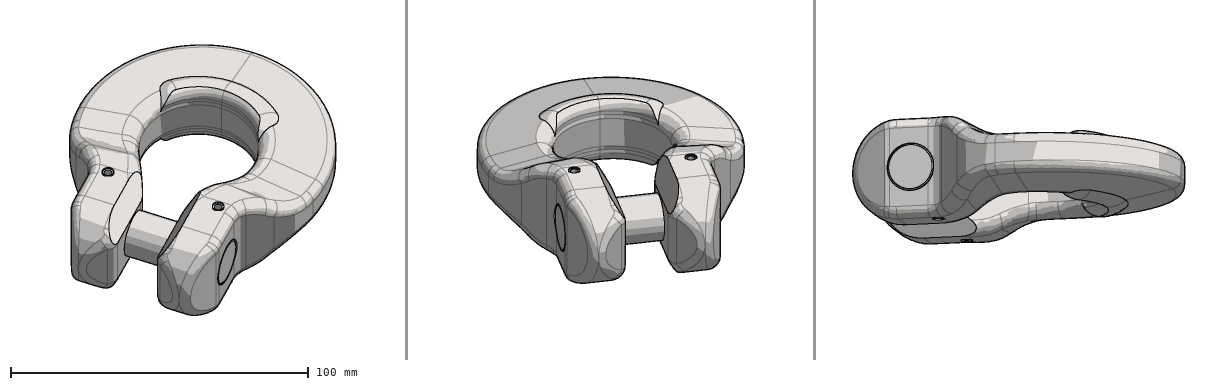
import cadquery as cq
import math


EYE_HALF_THICKNESS = 17.0
EYE_END_Y = -4.9
EYE_OUTER_X = 26.7
EYE_INNER_X = 7.4
EYE_CORNER_ROUND = 8.7
TIP_Y = EYE_END_Y - EYE_HALF_THICKNESS
TIP_OUTER_X = 20.7
TIP_INNER_X = 16.9
TIP_OUTER_CORNER_Y = -8.2
TIP_INNER_CORNER_Y = -16.1
TIP_CORNER_ROUND = 4.4

LENGTH = 109.0
BOW_RADIUS = 44.9
BOW_CENTRE = (0, TIP_Y + LENGTH - BOW_RADIUS)
BOW_END_ANGLE = -11.2
SHOULDER_RADIUS = 29.4
SHOULDER_END_ANGLE = -45.0
NECK_RADIUS = 7.4

BORE_RADIUS = 20.1
BORE_CENTRE = (0, 38.8)
LEG_END = (EYE_INNER_X, 8.3)

CROWN_CENTRE_Y = 40.3
CROWN_HALF_THICKNESS = 10.0
CROWN_GAUGE_RADIUS = 25.1
CROWN_SLOPE = 0.19
CROWN_REACH = 50.1
RAMP_START_Y = 31.1
RAMP_END_Y = 10.2

OUTER_ROUND = 3.6
INNER_ROUND = 4.9
BEVEL_START = (EYE_INNER_X, 9.0)
BEVEL_END = (12.3, EYE_HALF_THICKNESS)
BEVEL_REACH_Y = 43.6

SADDLE_HALF_THICKNESS = 11.8
SADDLE_RADIUS = 23.3
SADDLE_SECTION_RADIUS = 8.7
SADDLE_HALF_ANGLE = 42.0
SADDLE_BORE_RADIUS = BORE_RADIUS + 0.2
FLARE_ROUND = 3.9
FLARE_START_Z = 8.2

PIN_RADIUS = 8.1
PIN_CHAMFER = 0.5
ROLL_PIN_X = 20.1
ROLL_PIN_Y = PIN_RADIUS
ROLL_PIN_RADIUS = 2.0
ROLL_PIN_BORE_RADIUS = 1.3
ROLL_PIN_RECESS = 0.4


def polar(centre, radius, degrees):
    angle = math.radians(degrees)
    return (centre[0] + radius * math.cos(angle), centre[1] + radius * math.sin(angle))


def leg_tangent_angle():
    """Angle on the bore at which the straight inner leg touches it."""
    drop = BORE_CENTRE[1] - LEG_END[1]
    distance = math.hypot(LEG_END[0], drop)
    return math.degrees(math.acos(BORE_RADIUS / distance) - math.atan2(drop, LEG_END[0]))


def half_outline_prism():
    """The +X half of the plan outline, thicker than the part."""
    bow_end = polar(BOW_CENTRE, BOW_RADIUS, BOW_END_ANGLE)
    shoulder_centre = polar(BOW_CENTRE, BOW_RADIUS - SHOULDER_RADIUS, BOW_END_ANGLE)
    shoulder_mid = polar(shoulder_centre, SHOULDER_RADIUS, (BOW_END_ANGLE + SHOULDER_END_ANGLE) / 2)
    shoulder_end = polar(shoulder_centre, SHOULDER_RADIUS, SHOULDER_END_ANGLE)
    neck_x = EYE_OUTER_X + NECK_RADIUS
    neck_y = shoulder_end[1] + neck_x - shoulder_end[0] - NECK_RADIUS * math.sqrt(2)
    neck_centre = (neck_x, neck_y)
    leg_start_angle = leg_tangent_angle()
    prism = (
        cq.Workplane("XY")
        .moveTo(*polar(BOW_CENTRE, BOW_RADIUS, 90))
        .threePointArc(polar(BOW_CENTRE, BOW_RADIUS, 45), bow_end)
        .threePointArc(shoulder_mid, shoulder_end)
        .lineTo(*polar(neck_centre, NECK_RADIUS, 135))
        .threePointArc(polar(neck_centre, NECK_RADIUS, 157.5), polar(neck_centre, NECK_RADIUS, 180))
        .lineTo(EYE_OUTER_X, TIP_OUTER_CORNER_Y)
        .lineTo(TIP_OUTER_X, TIP_Y)
        .lineTo(TIP_INNER_X, TIP_Y)
        .lineTo(EYE_INNER_X, TIP_INNER_CORNER_Y)
        .lineTo(*LEG_END)
        .lineTo(*polar(BORE_CENTRE, BORE_RADIUS, leg_start_angle))
        .threePointArc(polar(BORE_CENTRE, BORE_RADIUS, 45), polar(BORE_CENTRE, BORE_RADIUS, 90))
        .close()
        .extrude(EYE_HALF_THICKNESS + 1.1, both=True)
    )
    corners = [
        (LEG_END, EYE_CORNER_ROUND),
        ((EYE_OUTER_X, TIP_OUTER_CORNER_Y), TIP_CORNER_ROUND),
        ((EYE_INNER_X, TIP_INNER_CORNER_Y), TIP_CORNER_ROUND),
    ]
    for (x, y), radius in corners:
        prism = prism.edges(cq.selectors.NearestToPointSelector((x, y, 0))).fillet(radius)
    return prism


def crown_half_thickness(radius):
    return CROWN_HALF_THICKNESS - CROWN_SLOPE * (radius - CROWN_GAUGE_RADIUS)


def leg_profile(x):
    """Upper side outline at one X: crown, S-shaped ramp of two equal arcs, flat eye and round end."""
    low = crown_half_thickness(x)
    high = EYE_HALF_THICKNESS
    ramp_length = RAMP_START_Y - RAMP_END_Y
    ramp_angle = 2 * math.degrees(math.atan2(high - low, ramp_length))
    ramp_radius = ramp_length / 2 / math.sin(math.radians(ramp_angle))
    low_centre = (RAMP_START_Y, low + ramp_radius)
    high_centre = (RAMP_END_Y, high - ramp_radius)
    eye_axis = (EYE_END_Y, 0)
    return (
        cq.Workplane("YZ", origin=(x, 0, 0))
        .moveTo(CROWN_CENTRE_Y, 0)
        .lineTo(CROWN_CENTRE_Y, low)
        .lineTo(RAMP_START_Y, low)
        .threePointArc(
            polar(low_centre, ramp_radius, 270 - ramp_angle / 2),
            polar(low_centre, ramp_radius, 270 - ramp_angle),
        )
        .threePointArc(polar(high_centre, ramp_radius, 90 - ramp_angle / 2), (RAMP_END_Y, high))
        .lineTo(EYE_END_Y, high)
        .threePointArc(polar(eye_axis, high, 135), polar(eye_axis, high, 180))
        .close()
        .wire()
        .val()
    )


def half_thickness_envelope():
    """Everything on the +X side that lies between the upper and lower surfaces."""
    profiles = [leg_profile(0), leg_profile(CROWN_REACH)]
    leg = cq.Workplane(cq.Solid.makeLoft(profiles, True))
    crown = (
        cq.Workplane("XZ")
        .lineTo(CROWN_REACH, 0)
        .lineTo(CROWN_REACH, crown_half_thickness(CROWN_REACH))
        .lineTo(0, crown_half_thickness(0))
        .close()
        .revolve(90, (0, 0), (0, 1))
        .translate((0, CROWN_CENTRE_Y, 0))
    )
    upper = leg.union(crown)
    return upper.union(upper.mirror("XY")).clean()


def rim_edges(half_body):
    """The edges where the outline walls meet the upper and lower surfaces, as outer and inner lists."""
    outer = []
    inner = []
    tip_mid_x = (TIP_OUTER_X + TIP_INNER_X) / 2
    bow_mid_radius = (BOW_RADIUS + BORE_RADIUS) / 2
    for edge in half_body.edges().vals():
        middle = edge.positionAt(0.5)
        faces = edge.ancestors(half_body.val(), "Face").Faces()
        walls = [face for face in faces if abs(face.normalAt(middle).z) < 1e-4]
        is_upright = abs(edge.tangentAt(0.5).z) > 0.999
        on_symmetry_plane = edge.BoundingBox().xmax < 0.0001
        if len(walls) != 1 or is_upright or on_symmetry_plane:
            continue
        if middle.y > RAMP_END_Y:
            is_inner = math.hypot(middle.x, middle.y - BORE_CENTRE[1]) < bow_mid_radius
        else:
            is_inner = middle.x < tip_mid_x
        if is_inner:
            inner.append(edge)
        else:
            outer.append(edge)
    return outer, inner


def jaw_bevel():
    """Wedge that bevels the inner face of the eye, above and below."""
    slope = (BEVEL_END[0] - BEVEL_START[0]) / (BEVEL_END[1] - BEVEL_START[1])
    top_z = EYE_HALF_THICKNESS + 1.1
    wedge = (
        cq.Workplane("XZ", origin=(0, BEVEL_REACH_Y, 0))
        .moveTo(0, BEVEL_START[1])
        .lineTo(*BEVEL_START)
        .lineTo(BEVEL_END[0] + slope * (top_z - BEVEL_END[1]), top_z)
        .lineTo(0, top_z)
        .close()
        .extrude(BEVEL_REACH_Y - TIP_Y)
    )
    return wedge.union(wedge.mirror("XY"))


def flared_bore():
    """The bore at the origin, with a mouth that rounds the bore side of the saddle."""
    flare_centre = (SADDLE_BORE_RADIUS + FLARE_ROUND, FLARE_START_Z)
    flare_end = polar(flare_centre, FLARE_ROUND, 90)
    return (
        cq.Workplane("XZ")
        .lineTo(SADDLE_BORE_RADIUS, 0)
        .lineTo(SADDLE_BORE_RADIUS, FLARE_START_Z)
        .threePointArc(polar(flare_centre, FLARE_ROUND, 135), flare_end)
        .lineTo(flare_end[0], EYE_HALF_THICKNESS)
        .lineTo(0, EYE_HALF_THICKNESS)
        .close()
        .revolve(360, (0, 0), (0, 1))
    )


def half_saddle():
    """The +X half of the rounded hump along the inner rim of the crown, with a spherical end."""
    section_z = SADDLE_HALF_THICKNESS - SADDLE_SECTION_RADIUS
    arch = (
        cq.Workplane("XZ")
        .moveTo(SADDLE_RADIUS - SADDLE_SECTION_RADIUS, section_z)
        .threePointArc((SADDLE_RADIUS, SADDLE_HALF_THICKNESS), (SADDLE_RADIUS + SADDLE_SECTION_RADIUS, section_z))
        .lineTo(SADDLE_RADIUS + SADDLE_SECTION_RADIUS, 0)
        .lineTo(SADDLE_RADIUS - SADDLE_SECTION_RADIUS, 0)
        .close()
        .revolve(SADDLE_HALF_ANGLE, (0, 0), (0, 1))
    )
    end_cap = (
        cq.Workplane("XZ", origin=(SADDLE_RADIUS, 0, 0))
        .lineTo(SADDLE_SECTION_RADIUS, 0)
        .lineTo(SADDLE_SECTION_RADIUS, section_z)
        .threePointArc(polar((0, section_z), SADDLE_SECTION_RADIUS, 45), (0, SADDLE_HALF_THICKNESS))
        .close()
        .revolve(180, (0, 0), (0, -1))
    )
    hump = arch.union(end_cap).rotate((0, 0, 0), (0, 0, 1), 90 - SADDLE_HALF_ANGLE)
    upper = hump.cut(flared_bore()).translate((*BORE_CENTRE, 0))
    return upper.union(upper.mirror("XY"))


def x_cylinder(radius, half_length):
    return cq.Workplane("YZ").circle(radius).extrude(half_length, both=True)


def roll_pin_holes():
    return (
        cq.Workplane("XY")
        .pushPoints([(-ROLL_PIN_X, ROLL_PIN_Y), (ROLL_PIN_X, ROLL_PIN_Y)])
        .circle(ROLL_PIN_RADIUS)
        .extrude(EYE_HALF_THICKNESS + 1.1, both=True)
    )


def make_shackle():
    half = half_outline_prism().intersect(half_thickness_envelope())
    outer_rim, inner_rim = rim_edges(half)
    rounded = half.val().fillet(OUTER_ROUND, outer_rim).fillet(INNER_ROUND, inner_rim)
    half = cq.Workplane(rounded).cut(jaw_bevel(), clean=False).union(half_saddle(), clean=False)
    half = half.cut(x_cylinder(PIN_RADIUS, EYE_OUTER_X + NECK_RADIUS), clean=False)
    half = half.cut(roll_pin_holes(), clean=False)
    return half.union(half.mirror("YZ"), clean=False)


def make_load_pin():
    pin = x_cylinder(PIN_RADIUS, EYE_OUTER_X).faces("<X or >X").chamfer(PIN_CHAMFER)
    return pin.cut(roll_pin_holes())


def make_roll_pin(x):
    return (
        cq.Workplane("XY", origin=(x, ROLL_PIN_Y, 0))
        .circle(ROLL_PIN_RADIUS)
        .circle(ROLL_PIN_BORE_RADIUS)
        .extrude(EYE_HALF_THICKNESS - ROLL_PIN_RECESS, both=True)
    )


shackle = make_shackle()
load_pin = make_load_pin()
roll_pins = [make_roll_pin(x) for x in (-ROLL_PIN_X, ROLL_PIN_X)]

result = cq.Compound.makeCompound([shackle.val(), load_pin.val(), *[pin.val() for pin in roll_pins]])